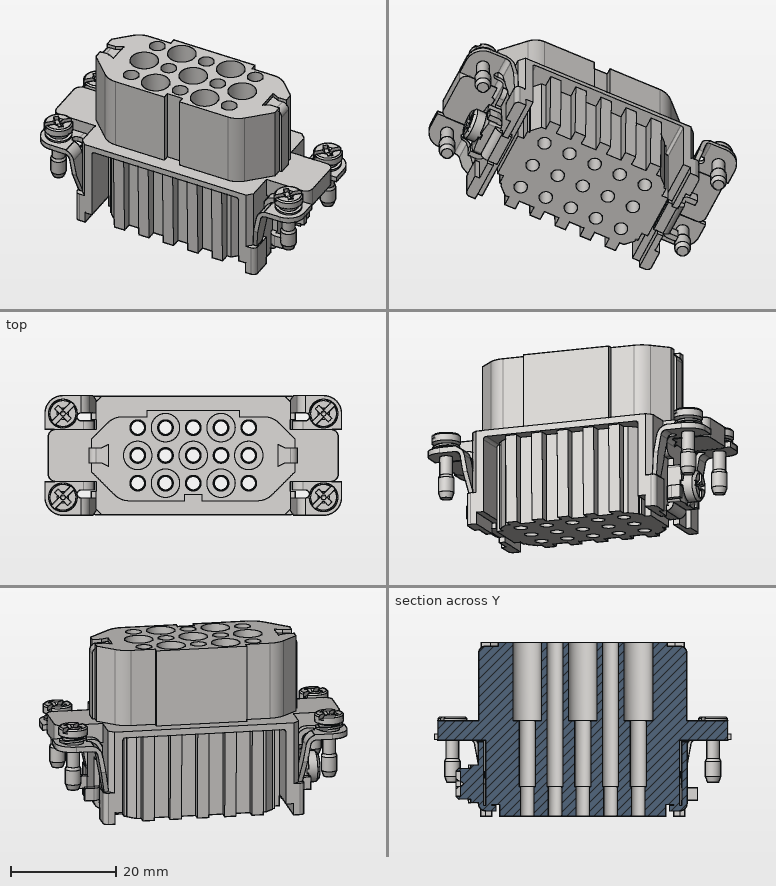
import cadquery as cq
total_length = 56.5
bracket_depth = 22.8
body_depth = 22.6
total_height = 33.1
half_depth = body_depth / 2
bracket_y = bracket_depth / 2
deck_z = 18.25

wall_x = 18.5
pocket_x = 15.8
corner_bevel = 1.1
foot_x = 19.45
foot_top = 6.2
foot_inner_y = 6.85
foot_round = 0.9
rim_height = 1.25
pocket_round = 0.55
corner_pocket_y = 4.5
core_x = 14.1
core_y = 8.2
core_bevel = 1.6
core_root_x = 14.6
core_root_y = 6.2
rib_width = 2.2
rib_top_y = 10.4
rib_base_y = 10.05
foot_slot_width = 1.45
foot_slot_height = 2.25

flange_x = 27.65
flange_width = 9.95
flange_bottom = 14.45
flange_round = 1.45

insert_x = 19.3
insert_flat_y = 3.15
insert_front_y = 8.65
insert_back_y = 7.35
insert_round = 4.05
key_width = 17.5
key_y = 8.6
notch_width = 3.3
notch_depth = 1.25
pitch = 5.28
bore_diameter = 2.55
small_socket = 3.0
large_socket = 5.4
large_socket_z = deck_z
small_socket_z = 5.65

latch_x = 19.85
latch_width = 2.8
latch_top_drop = 0.7
latch_round = 1.35
latch_recess_x = 16.1
latch_recess_width = 4.2

sheet = 1.1
plate_x = 19.9
ear_bottom = 14.65
ear_top = ear_bottom + sheet
ear_inner_y = 5.0
screw_x = 24.8
screw_y = 7.95
ear_round = total_length / 2 - screw_x
arm_slope = 0.186
arm_foot_x = 19.2
arm_width = 0.9
slit_y = 6.6
slit_width = 1.45
slit_end_x = 22.1
stem_half_width = 3.3
stem_bottom = 1.0
stem_bend = 1.45
tail_x = 16.5
tab_y = 4.85
tab_x = 21.85
tab_bottom = 3.05
tab_top = 5.5
tab_bend = 1.35

head_diameter = 5.5
head_bottom = 16.95
head_top = 18.9
washer_diameter = 5.2
neck_diameter = 4.0
shank_diameter = 2.5
tip_diameter = 3.0
tip_top = 11.0
tip_bottom = 6.5
tip_bevel = 0.55
tip_taper = 1.15
tip_end_diameter = 2.15
slot_width = 0.95
slot_depth = 0.85
cross_length = 3.5
cross_depth = 0.85
cross_cone_diameter = 2.2
cross_cone_depth = 1.45
head_bevel = 0.3

earth_z = 6.2
clamp_size = 7.25
clamp_x = 21.75
clamp_slope = 0.4
clamp_face_diameter = 7.0
clamp_slope_diameter = 10.3
clamp_corner_round = 0.45
earth_head_diameter = 6.0
earth_head_x = 24.1
earth_head_bevel = 0.55
earth_head_slot = 4.75


def block(x0, x1, y0, y1, z0, z1):
    """Box given by its limits on the three axes."""
    size = (x1 - x0, y1 - y0, z1 - z0)
    return cq.Workplane("XY").box(*size, centered=False).translate((x0, y0, z0))


def disc(diameter, z0, z1):
    """Upright cylinder on the Z axis."""
    return cq.Workplane("XY").workplane(offset=z0).circle(diameter / 2).extrude(z1 - z0)


def both_ends(shape):
    """The shape and its mirror image at the other end of the part."""
    return shape.union(shape.mirror("YZ"))


def both_sides(shape):
    """The shape and its mirror image on the other long side."""
    return shape.union(shape.mirror("XZ"))


def side_pocket():
    """Pocket in the -Y side: recessed floor, bevelled core corners, five ribs."""
    pocket_top = deck_z - rim_height
    pocket = block(-pocket_x, pocket_x, -half_depth, -corner_pocket_y, 0, pocket_top)
    pocket = pocket.edges("|Y and >Z").fillet(pocket_round)
    core = block(-core_x, core_x, -core_y, 0, 0, pocket_top)
    core = core.edges("|Z and <Y").chamfer(core_bevel)
    core = core.union(block(-core_root_x, core_root_x, -core_root_y, 0, 0, pocket_top))
    rib = (
        cq.Workplane("YZ")
        .polyline([
            (-corner_pocket_y, 0), (-rib_base_y, 0),
            (-rib_top_y, pocket_top), (-corner_pocket_y, pocket_top),
        ])
        .close()
        .extrude(rib_width / 2, both=True)
    )
    for column in range(-2, 3):
        core = core.union(rib.translate((column * pitch, 0, 0)))
    return pocket.cut(core)


def housing():
    """Shell with side pockets, corner feet and the two end flanges."""
    shell = block(-wall_x, wall_x, -half_depth, half_depth, 0, deck_z)
    shell = shell.edges("|Z").chamfer(corner_bevel)
    foot = block(pocket_x, foot_x, foot_inner_y, half_depth, 0, foot_top)
    foot = foot.edges("|Z and >X and >Y").fillet(foot_round)
    flange = block(-flange_x, flange_x, -flange_width / 2, flange_width / 2, flange_bottom, deck_z)
    flange = flange.edges("|Z").fillet(flange_round)
    foot_slot = block(
        pocket_x, pocket_x + foot_slot_width, -half_depth, half_depth, 0, foot_slot_height
    )
    shell = shell.union(both_ends(both_sides(foot))).union(flange)
    return shell.cut(both_sides(side_pocket())).cut(both_ends(foot_slot))


def insert_half(depth):
    """Half of the insert, from the X axis to the given depth, with 45 degree corners."""
    shoulder_x = insert_x - (depth - insert_flat_y)
    half = (
        cq.Workplane("XY")
        .workplane(offset=deck_z)
        .polyline([
            (-insert_x, 0), (-insert_x, insert_flat_y), (-shoulder_x, depth),
            (shoulder_x, depth), (insert_x, insert_flat_y), (insert_x, 0),
        ])
        .close()
        .extrude(total_height - deck_z)
    )
    return half.edges("|Z and >Y").fillet(insert_round)


def latch():
    """Strip up the insert end with a rounded top."""
    strip = block(
        latch_recess_x, latch_x, -latch_width / 2, latch_width / 2, deck_z, total_height - latch_top_drop
    )
    return strip.edges("|Y and >X and >Z").fillet(latch_round)


def latch_recess():
    """Flared recess in the insert top above a latch."""
    flare_x = latch_recess_x + latch_width / 2
    recess = (
        cq.Workplane("XY")
        .workplane(offset=total_height - latch_top_drop)
        .polyline([
            (latch_x, -latch_width / 2), (flare_x, -latch_width / 2),
            (latch_recess_x, -latch_recess_width / 2), (latch_recess_x, latch_recess_width / 2),
            (flare_x, latch_width / 2), (latch_x, latch_width / 2),
        ])
        .close()
        .extrude(latch_top_drop)
    )
    rounded_top = block(
        insert_x - latch_round, insert_x, -latch_width / 2, latch_width / 2,
        total_height - latch_top_drop - latch_round, total_height,
    )
    return recess.union(rounded_top)


def insert():
    """Contact insert with a key on the +Y side, a notch on the -Y side and end latches."""
    body = insert_half(insert_back_y).union(insert_half(insert_front_y).mirror("XZ"))
    key = block(-key_width / 2, key_width / 2, 0, key_y, deck_z, total_height)
    notch = block(
        -notch_width / 2, notch_width / 2, -insert_front_y, notch_depth - insert_front_y,
        deck_z, total_height,
    )
    body = body.union(key).cut(notch)
    return body.cut(both_ends(latch_recess())).union(both_ends(latch()))


def contact_holes():
    """Fifteen stepped through bores, every second one with a large socket on top."""
    holes = cq.Workplane("XY")
    for column in range(-2, 3):
        for row in range(-1, 2):
            hole = disc(bore_diameter, 0, total_height)
            hole = hole.union(disc(small_socket, small_socket_z, total_height))
            if (column + row) % 2 == 0:
                hole = hole.union(disc(large_socket, large_socket_z, total_height))
            holes = holes.union(hole.translate((column * pitch, row * pitch, 0)))
    return holes


def ear_and_arm():
    """Screw ear at +X +Y, bent down into a leaning spring arm."""
    bend_x = arm_foot_x + arm_slope * (ear_bottom - foot_top)
    outer_bend_radius = 2.4
    top_x = arm_foot_x - arm_width + arm_slope * (ear_top - foot_top)
    strip = (
        cq.Workplane("XZ")
        .polyline([
            (total_length / 2, ear_bottom), (total_length / 2, ear_top), (top_x, ear_top),
            (arm_foot_x - arm_width, foot_top), (arm_foot_x, foot_top), (bend_x, ear_bottom),
        ])
        .close()
        .extrude(-bracket_y)
    )
    inner_bend = cq.selectors.NearestToPointSelector((bend_x, bracket_y / 2, ear_bottom))
    outer_bend = cq.selectors.NearestToPointSelector((top_x, bracket_y / 2, ear_top))
    strip = strip.edges(inner_bend).fillet(sheet)
    strip = strip.edges(outer_bend).fillet(outer_bend_radius)

    arm_inner_y = slit_y + slit_width
    arm_taper = 1.2
    taper_z = 10.45
    arm_outline = (
        cq.Workplane("YZ")
        .polyline([
            (arm_inner_y, ear_top), (arm_inner_y, foot_top), (bracket_y - arm_taper, foot_top),
            (bracket_y, taper_z), (bracket_y, ear_top),
        ])
        .close()
        .extrude(total_length / 2)
    )
    ear = block(slit_end_x - slit_width / 2, total_length / 2, ear_inner_y, bracket_y, ear_bottom, ear_top)
    ear = ear.edges("|Z and >X and >Y").fillet(ear_round)
    slit_round = (
        disc(slit_width, ear_bottom, ear_top)
        .translate((slit_end_x - slit_width / 2, slit_y + slit_width / 2, 0))
    )
    arm = strip.intersect(arm_outline).cut(block(screw_x, total_length / 2, 0, bracket_y, 0, ear_top))
    return ear.cut(slit_round).union(arm)


def ear_root():
    """Bend joining the upright plate to the ear beside the slit."""
    root_half_gap = 2.75
    root_middle_y = (root_half_gap + slit_y) / 2
    inner_bend = cq.selectors.NearestToPointSelector((plate_x, root_middle_y, ear_bottom))
    root = (
        cq.Workplane("XZ")
        .polyline([
            (plate_x - sheet, ear_bottom - 2 * sheet), (plate_x, ear_bottom - 2 * sheet),
            (plate_x, ear_bottom), (slit_end_x, ear_bottom),
            (slit_end_x, ear_top), (plate_x - sheet, ear_top),
        ])
        .close()
        .extrude(root_half_gap - slit_y)
        .translate((0, root_half_gap, 0))
    )
    outer_bend_radius = 2.1
    root = root.edges(inner_bend).fillet(sheet)
    return root.edges("|Y and <X and >Z").fillet(outer_bend_radius)


def upright_plate():
    """Plate on the end wall: wide shoulders, rounded necks, a stem and a hooked tail."""
    shoulder_y = 6.55
    shoulder_bottom = 12.7
    neck_z = 11.2
    neck_y = 4.8
    plate_top = 14.25
    relief_y = 2.4
    relief_radius = 0.7
    plate = (
        cq.Workplane("YZ")
        .workplane(offset=plate_x - sheet)
        .moveTo(0, stem_bottom)
        .lineTo(stem_half_width, stem_bottom)
        .lineTo(stem_half_width, neck_z)
        .lineTo(neck_y, neck_z)
        .radiusArc((shoulder_y, shoulder_bottom), -(shoulder_y - neck_y))
        .lineTo(shoulder_y, plate_top)
        .lineTo(0, plate_top)
        .close()
        .extrude(sheet)
    )
    tail = block(tail_x, plate_x, 0, stem_half_width, stem_bottom, stem_bottom + sheet)
    ear = block(plate_x - sheet, plate_x, 0, tab_y, tab_bottom, tab_top)
    tab = block(plate_x - sheet, tab_x, tab_y - sheet, tab_y, tab_bottom, tab_top)
    plate = plate.union(tail)
    plate = plate.edges("|Y and >X and <Z").fillet(stem_bend)
    ear = ear.union(tab).edges("|Z and >Y and <X").fillet(tab_bend)
    relief = cq.Workplane("YZ").center(relief_y, flange_bottom).circle(relief_radius).extrude(plate_x)
    return plate.union(ear).cut(relief)


def cross_recess(z_top):
    """Crossed slots around a pointed socket, sunk from the given height."""
    arm = cq.Workplane("XY").workplane(offset=z_top - cross_depth).rect(cross_length, slot_width)
    cross = arm.extrude(cross_depth)
    cone_tip = cq.Vector(0, 0, z_top - cross_cone_depth)
    cone = cq.Solid.makeCone(0, cross_cone_diameter / 2, cross_cone_depth, cone_tip)
    return cross.union(cross.rotate((0, 0, 0), (0, 0, 1), 90)).union(cq.Workplane(cone))


def fixing_screw():
    """Slotted captive screw on the Z axis with a skewed spring washer."""
    washer_skew = 7
    washer_thickness = 0.4
    head_flare = 0.4
    outline = [
        (0, tip_bottom), (tip_end_diameter / 2, tip_bottom), (tip_diameter / 2, tip_bottom + tip_taper),
        (tip_diameter / 2, tip_top - tip_bevel), (shank_diameter / 2, tip_top),
        (shank_diameter / 2, ear_top), (neck_diameter / 2, ear_top), (neck_diameter / 2, head_bottom),
        (head_diameter / 2, head_bottom + head_flare), (head_diameter / 2, head_top - head_bevel),
        (head_diameter / 2 - head_bevel, head_top), (0, head_top),
    ]
    screw = cq.Workplane("XZ").polyline(outline).close().revolve(360, (0, 0, 0), (0, 1, 0))
    washer = disc(washer_diameter, -washer_thickness / 2, washer_thickness / 2)
    washer = washer.rotate((0, 0, 0), (1, 1, 0), washer_skew).translate((0, 0, (ear_top + head_bottom) / 2))
    slot = cq.Workplane("XY").workplane(offset=head_top - slot_depth)
    slot = slot.rect(washer_diameter * 2, slot_width).extrude(slot_depth)
    drive = slot.union(cross_recess(head_top)).rotate((0, 0, 0), (0, 0, 1), 45)
    return screw.union(washer).cut(drive)


def earth_screw():
    """Cross-slotted head on a square clamp plate with sloping corners at the -X end."""
    half_size = clamp_size / 2
    slope_z = clamp_x - clamp_slope
    clamp = cq.Workplane("XY").workplane(offset=plate_x - sheet).rect(clamp_size, clamp_size)
    clamp = clamp.extrude(clamp_x - plate_x + sheet).edges("|Z").fillet(clamp_corner_round)
    cone = cq.Solid.makeCone(
        clamp_slope_diameter / 2, clamp_face_diameter / 2, clamp_slope, cq.Vector(0, 0, slope_z)
    )
    shoulder = block(-half_size, half_size, -half_size, half_size, 0, slope_z)
    clamp = clamp.intersect(shoulder.union(cq.Workplane(cone)))
    groove = block(-half_size, half_size, -slot_width / 2, slot_width / 2, slope_z, clamp_x)
    clamp = clamp.cut(groove).cut(groove.rotate((0, 0, 0), (0, 0, 1), 90))
    head = disc(earth_head_diameter, plate_x, earth_head_x).faces(">Z").chamfer(earth_head_bevel)
    slot = cq.Workplane("XY").workplane(offset=earth_head_x - slot_depth)
    slot = slot.rect(slot_width, earth_head_slot).extrude(slot_depth)
    slot = slot.union(slot.rotate((0, 0, 0), (0, 0, 1), 90))
    head = head.cut(slot).cut(cross_recess(earth_head_x))
    return clamp.union(head).rotate((0, 0, 0), (0, 1, 0), -90).translate((0, 0, earth_z))


result = housing().union(insert()).cut(contact_holes())
bracket = upright_plate().union(ear_root()).union(ear_and_arm())
tail_opening = block(
    pocket_x, wall_x, -stem_half_width, stem_half_width, 0, stem_bottom
)
result = result.cut(both_ends(tail_opening)).union(both_ends(both_sides(bracket)))
for x in (-screw_x, screw_x):
    for y in (-screw_y, screw_y):
        result = result.union(fixing_screw().translate((x, y, 0)))
result = result.union(earth_screw())